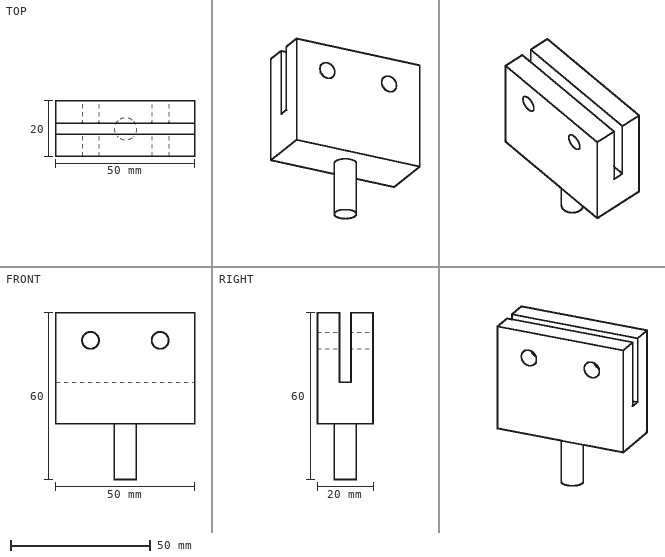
import cadquery as cq

block_length = 50.0
block_width = 20.0
block_height = 40.0

slot_width = 4.0
slot_depth = 25.0

hole_diameter = 6.0
hole_spacing = block_length / 2
hole_drop = 10.0

pin_diameter = 8.0
pin_length = 20.0


def make_block():
    return cq.Workplane("XY").box(
        block_length, block_width, block_height, centered=(True, True, False)
    )


def make_slot():
    return (
        cq.Workplane("XY")
        .workplane(offset=block_height - slot_depth)
        .rect(block_length, slot_width)
        .extrude(slot_depth)
    )


def make_cross_holes():
    hole_height = block_height - hole_drop
    return (
        cq.Workplane("XZ")
        .pushPoints([(side * hole_spacing / 2, hole_height) for side in (-1, 1)])
        .circle(hole_diameter / 2)
        .extrude(block_width / 2, both=True)
    )


def make_pin():
    return cq.Workplane("XY").circle(pin_diameter / 2).extrude(-pin_length)


result = make_block().cut(make_slot()).cut(make_cross_holes()).union(make_pin())